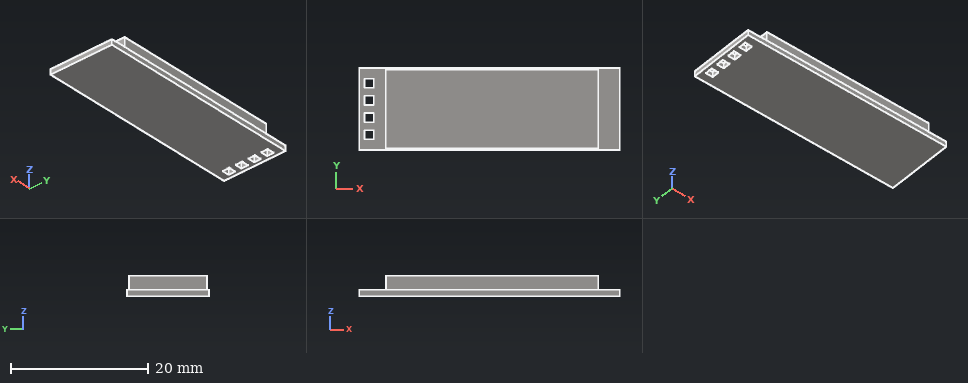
import cadquery as cq

board_length = 38.0
board_width = 12.0
board_thickness = 1.0

panel_length = 31.0
panel_width = 11.4
total_height = 3.0
panel_height = total_height - board_thickness
panel_end_gap = 3.88

hole_count = 4
hole_size = 1.3
hole_pitch = 2.5
hole_end_distance = 1.45


def make_board():
    return cq.Workplane("XY").box(
        board_length, board_width, board_thickness, centered=(True, True, False)
    )


def make_panel():
    panel_x = -board_length / 2 + panel_end_gap + panel_length / 2
    return (
        cq.Workplane("XY", origin=(panel_x, 0, board_thickness))
        .box(panel_length, panel_width, panel_height, centered=(True, True, False))
    )


def make_pin_holes():
    hole_x = -board_length / 2 + hole_end_distance
    return (
        cq.Workplane("XY", origin=(hole_x, 0, 0))
        .rarray(0.38, hole_pitch, 1, hole_count)
        .rect(hole_size, hole_size)
        .extrude(board_thickness)
    )


result = make_board().union(make_panel()).cut(make_pin_holes())